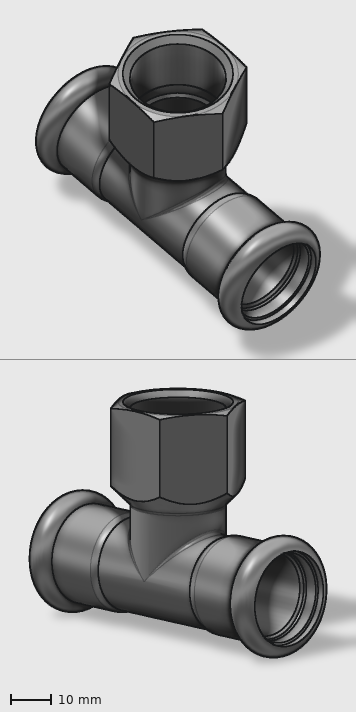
import cadquery as cq
import math

run_length = 78.6
half_run = run_length / 2
pipe_diameter = 24.0
pipe_radius = pipe_diameter / 2
bore_diameter = 21.0
bore_radius = bore_diameter / 2
sleeve_diameter = 25.3
sleeve_radius = sleeve_diameter / 2
sleeve_end = 18.4
neck_down_end = 16.2

mouth_diameter = 24.1
mouth_radius = mouth_diameter / 2
mouth_depth = 1.9
tube_seat_diameter = 22.9
tube_seat_radius = tube_seat_diameter / 2
tube_seat_start = 2.05
tube_seat_end = 5.35
stop_diameter = 22.3
stop_radius = stop_diameter / 2
stop_depth = 6.05
bore_start = 6.75

bead_tip_radius = 15.4
bead_section_radius = 3.8
bead_ring_radius = bead_tip_radius - bead_section_radius
bead_x = half_run - math.sqrt(bead_section_radius**2 - (mouth_radius - bead_ring_radius)**2)

branch_top = 44.0
junction_fillet = 1.1
junction_core = 0.99
hex_across_flats = 30.1
hex_corner_radius = hex_across_flats / math.sqrt(3)
hex_bottom = 18.1
hex_bottom_fillet = 0.95
crown_radius = 15.0
crown_drop = 0.7
thread_diameter = 24.0
thread_radius = thread_diameter / 2
thread_chamfer_radius = 13.75
thread_chamfer_depth = 1.6
thread_end = 28.0
relief_diameter = 24.1
relief_radius = relief_diameter / 2
relief_floor = 25.0


def make_junction():
    """Equal pipes meeting at right angles, with a rolling-ball fillet in the corners."""
    run = cq.Workplane("YZ").circle(pipe_radius).extrude(bead_x, both=True)
    branch = cq.Workplane("XY").circle(pipe_radius).extrude(hex_bottom + hex_bottom_fillet)
    tee = run.union(branch)
    core_width = 2 * junction_core * pipe_radius
    core = tee.intersect(cq.Workplane("XY").box(run_length, core_width, 2 * branch_top))
    upper_side = cq.selectors.BoxSelector(
        (-pipe_radius, -pipe_radius, 0), (pipe_radius, pipe_radius, pipe_radius)
    )
    corner_edges = core.edges("%ELLIPSE").edges(upper_side)
    return tee.union(corner_edges.fillet(junction_fillet))


def make_sleeve():
    """Socket sleeve at the +X end, with a rounded neck-down towards the pipe."""
    neck_length = sleeve_end - neck_down_end
    neck_drop = sleeve_radius - pipe_radius
    arc_radius = (neck_length**2 + neck_drop**2) / (2 * neck_drop)
    half_angle = math.asin(neck_length / arc_radius) / 2
    arc_mid = (
        sleeve_end - arc_radius * math.sin(half_angle),
        sleeve_radius - arc_radius * (1 - math.cos(half_angle)),
    )
    profile = (
        cq.Workplane("XY")
        .moveTo(neck_down_end, 0)
        .lineTo(neck_down_end, pipe_radius)
        .threePointArc(arc_mid, (sleeve_end, sleeve_radius))
        .lineTo(bead_x, sleeve_radius)
        .lineTo(bead_x, 0)
        .close()
    )
    return profile.revolve(360, (0, 0, 0), (1, 0, 0))


def make_bead():
    """Rounded bead that bulges outward around the socket mouth."""
    profile = (
        cq.Workplane("XY")
        .moveTo(bead_x - bead_section_radius, 0)
        .lineTo(bead_x - bead_section_radius, bead_ring_radius)
        .threePointArc((bead_x, bead_tip_radius), (half_run, mouth_radius))
        .lineTo(half_run, 0)
        .close()
    )
    return profile.revolve(360, (0, 0, 0), (1, 0, 0))


def make_socket_cut():
    """Stepped mouth that narrows from the end face to the run bore."""
    profile = cq.Workplane("XY").polyline([
        (half_run, 0),
        (half_run, mouth_radius),
        (half_run - mouth_depth, mouth_radius),
        (half_run - tube_seat_start, tube_seat_radius),
        (half_run - tube_seat_end, tube_seat_radius),
        (half_run - stop_depth, stop_radius),
        (half_run - bore_start, bore_radius),
        (half_run - bore_start, 0),
    ]).close()
    return profile.revolve(360, (0, 0, 0), (1, 0, 0))


def make_hex():
    """Hexagon trimmed by a crowned top and a 45 degree cone below."""
    prism = (
        cq.Workplane("XY")
        .workplane(offset=hex_bottom - hex_bottom_fillet)
        .polygon(6, 2 * hex_corner_radius)
        .extrude(branch_top - hex_bottom + hex_bottom_fillet)
    )
    fillet_tangent = hex_bottom_fillet * math.tan(math.pi / 8)
    fillet_start = hex_bottom - fillet_tangent
    fillet_center_radius = pipe_radius + hex_bottom_fillet
    arc_mid = (
        fillet_center_radius - hex_bottom_fillet * math.cos(math.pi / 8),
        fillet_start + hex_bottom_fillet * math.sin(math.pi / 8),
    )
    arc_end = (
        fillet_center_radius - hex_bottom_fillet * math.cos(math.pi / 4),
        fillet_start + hex_bottom_fillet * math.sin(math.pi / 4),
    )
    cone_end = hex_bottom + hex_corner_radius - pipe_radius
    envelope = (
        cq.Workplane("XZ")
        .moveTo(0, fillet_start)
        .lineTo(pipe_radius, fillet_start)
        .threePointArc(arc_mid, arc_end)
        .lineTo(hex_corner_radius, cone_end)
        .lineTo(hex_corner_radius, branch_top - crown_drop)
        .lineTo(crown_radius, branch_top)
        .lineTo(0, branch_top)
        .close()
        .revolve(360, (0, 0, 0), (0, 1, 0))
    )
    return prism.intersect(envelope)


def make_thread_cut():
    """Chamfered threaded bore with a run-out relief above the branch bore."""
    profile = cq.Workplane("XZ").polyline([
        (0, relief_floor),
        (relief_radius, relief_floor),
        (relief_radius, thread_end),
        (thread_radius, thread_end),
        (thread_radius, branch_top - thread_chamfer_depth),
        (thread_chamfer_radius, branch_top),
        (0, branch_top),
    ]).close()
    return profile.revolve(360, (0, 0, 0), (0, 1, 0))


result = make_junction().union(make_hex())
for end_part in (make_sleeve(), make_bead()):
    result = result.union(end_part).union(end_part.mirror("YZ"))

run_bore = cq.Workplane("YZ").circle(bore_radius).extrude(half_run, both=True)
branch_bore = cq.Workplane("XY").circle(bore_radius).extrude(branch_top)
socket_cut = make_socket_cut()
for cut in (run_bore, branch_bore, socket_cut, socket_cut.mirror("YZ"), make_thread_cut()):
    result = result.cut(cut)